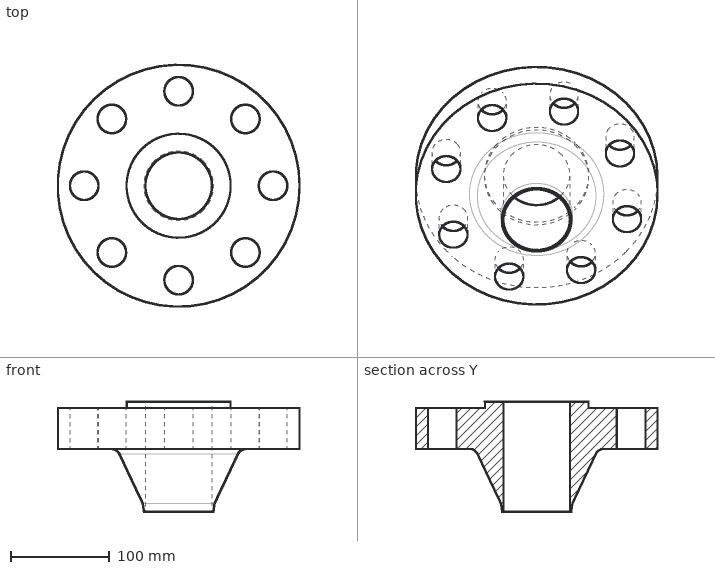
import cadquery as cq

flange_diameter = 244.5
total_height = 111.2

flange_thickness = 41.5
face_diameter = 105.0
face_height = 6.4
bore_diameter = 67.0

bolt_count = 8
bolt_hole_diameter = 28.5
bolt_circle_diameter = 190.7

hub_root_diameter = 124.7
hub_neck_diameter = 72.9
hub_tip_diameter = 70.5
weld_end_height = 8.5
root_fillet = 8.8

flange_top = total_height - face_height
flange_bottom = flange_top - flange_thickness


def make_body():
    """Revolve the solid outline of hub, flange and raised face about Z."""
    outline = (
        cq.Workplane("XZ")
        .moveTo(0, 0)
        .lineTo(hub_tip_diameter / 2, 0)
        .lineTo(hub_neck_diameter / 2, weld_end_height)
        .lineTo(hub_root_diameter / 2, flange_bottom)
        .lineTo(flange_diameter / 2, flange_bottom)
        .lineTo(flange_diameter / 2, flange_top)
        .lineTo(face_diameter / 2, flange_top)
        .lineTo(face_diameter / 2, total_height)
        .lineTo(0, total_height)
        .close()
    )
    return outline.revolve(360, (0, 0, 0), (0, 1, 0))


def round_hub_root(body):
    """Blend the cone into the underside of the flange."""
    margin = 0.2
    half_width = hub_root_diameter / 2 + margin
    root_edge = cq.selectors.BoxSelector(
        (-half_width, -half_width, flange_bottom - margin),
        (half_width, half_width, flange_bottom + margin),
        boundingbox=True,
    )
    return body.edges(root_edge).fillet(root_fillet)


def make_bore():
    return cq.Workplane("XY").circle(bore_diameter / 2).extrude(total_height)


def make_bolt_holes():
    return (
        cq.Workplane("XY")
        .workplane(offset=flange_bottom)
        .polarArray(bolt_circle_diameter / 2, 0, 360, bolt_count)
        .circle(bolt_hole_diameter / 2)
        .extrude(flange_thickness)
    )


result = round_hub_root(make_body()).cut(make_bore()).cut(make_bolt_holes())